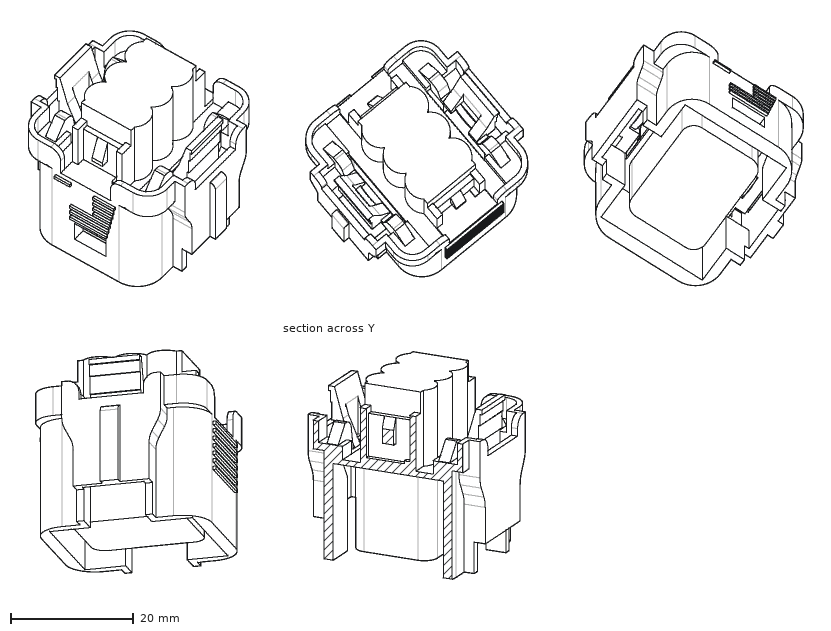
import cadquery as cq
import math


BODY_HALF_X = 11.83
BODY_HALF_Y = 14.5
BODY_CORNER_R = 5.0
CAVITY_HALF_X = 10.0
CAVITY_HALF_Y = 12.18

RIM_HALF_X = 13.65
RIM_WALL = 1.0
RIM_CORNER_R = 4.0
RIM_BOTTOM = 18.7
RIM_TOP = 23.7
RIM_FLOOR = 20.0
NOTCH_R = 2.0

DECK_HALF_X = 8.2
DECK_TOP = 17.7
DECK_THICKNESS = 1.0
DECK_BOTTOM = DECK_TOP - DECK_THICKNESS

PLATE_OUTER_X = 15.65
PLATE_THICKNESS = 1.15
PLATE_INNER_X = PLATE_OUTER_X - PLATE_THICKNESS
PLATE_BOTTOM = 5.45
PLATE_NOTCH_HALF_Y = 5.5
PLATE_NOTCH_BOTTOM = 20.38
SLEEVE_OUTER_LOW = 6.48
SLEEVE_OUTER_HIGH = 8.42
SLEEVE_INNER_LOW = 5.25
SLEEVE_INNER_HIGH = 7.45
BEND_LOW_Z = 12.75
BEND_HIGH_Z = 16.43
BEND_R = 4.08
BEND_MARGIN = 0.32

KEY_DEPTH = 1.1
KEY_HALF_Y = 1.52
KEY_TOP = 18.55
KEY_ROUND_R = 0.97

WINDOW_X = (-2.25, 4.1)
WINDOW_Z = (4.47, 8.25)
RIB_DEPTH = 0.5
RIB_HEIGHT = 0.55
RIB_PITCH = 1.3
RIB_ROWS = 7
RIB_TOP_ROW_Z = 17.43
RIB_END_X = 6.05
RIB_END_STEP = 0.25
RIB_SHORT_START_X = 1.78
RIB_LONG_START_X = -2.95
RIB_SHORT_ROWS = 4
RIB_TICK_END_X = -2.88

INSERT_TOP = 30.8
INSERT_BOTTOM = 1.95
INSERT_HALF_X = 5.1
INSERT_HALF_Y = 8.88
LOBE_R = 3.2
LOBE_CENTER_X = 2.95
LOBE_PITCH = 5.55
FOOT_HALF_X = 7.3
FOOT_HALF_Y = 9.6
FOOT_CORNER_R = 2.35
FLANGE_INNER_X = 3.92
FLANGE_OUTER_Y = 11.35
FLANGE_TOP = 27.15
PANEL_OUTER_Y = 9.88
PANEL_TOP = 26.08
HOOK_HALF_X = 1.05
HOOK_LIP_TOP = 22.32
HOOK_LIP_BOTTOM = 21.55
STEP_INNER_X = 2.98
STEP_HEIGHT = 0.5

ARM_INNER_X = 9.15
ARM_OUTER_X = 11.18
ARM_TOP = 17.63
ARM_BOTTOM = 15.7
LUG_OUTER_Y = 10.5
LUG_PEAK_Y = 7.95
LUG_PEAK_Z = 22.97
LUG_ROUND_R = 1.88
LUG_FOOT_Y = 4.9
TAB_HALF_Y = 4.3
TAB_SLOT_HALF_Y = 2.25
TAB_SLOT_X = 11.83
TAB_TOP = 27.65
TAB_TOP_INNER_X = 12.85
TAB_FOLD_X = 11.3
TAB_FOLD_Z = 22.4
TAB_TIP_X = 13.95
TAB_TIP_BOTTOM = 26.8
TAB_BACK_X = 13.6
TAB_BACK_BOTTOM = 24.85
TAB_NECK_X = 13.38
TAB_NECK_BOTTOM = 21.85
TAB_STEM_X = 13.05
SADDLE_INNER_X = 10.05
SADDLE_DEPTH = 1.3
SADDLE_THICKNESS = 1.0


def span_box(x, y, z):
    """Box between the given (low, high) limits along each axis."""
    return cq.Workplane("XY").box(
        x[1] - x[0], y[1] - y[0], z[1] - z[0], centered=False
    ).translate((x[0], y[0], z[0]))


def centered_box(half_x, half_y, bottom, top):
    return span_box((-half_x, half_x), (-half_y, half_y), (bottom, top))


def rounded_block(half_x, half_y, radius, bottom, top):
    return centered_box(half_x, half_y, bottom, top).edges("|Z").fillet(radius)


def on_both_x_sides(solid):
    return solid.union(solid.mirror("YZ"))


def rotated_half_turn(solid):
    return solid.rotate((0, 0, 0), (0, 0, 1), 180)


def flared_notch(plane, half_width, bottom, half_length):
    """Cutter for a notch in the rim whose top corners are rounded over."""
    flare = half_width + NOTCH_R
    round_start = RIM_TOP - NOTCH_R
    mid_offset = NOTCH_R * math.sqrt(0.5)
    mid_width = flare - mid_offset
    mid_z = round_start + mid_offset
    return (
        cq.Workplane(plane)
        .moveTo(-half_width, bottom)
        .lineTo(-half_width, round_start)
        .threePointArc((-mid_width, mid_z), (-flare, RIM_TOP))
        .lineTo(flare, RIM_TOP)
        .threePointArc((mid_width, mid_z), (half_width, round_start))
        .lineTo(half_width, bottom)
        .close()
        .extrude(half_length, both=True)
    )


def sleeve_prism(low_half, high_half, x_start, x_end):
    """Prism along X that widens from low_half to high_half between the two bends."""
    outline = [
        (-low_half, 0),
        (low_half, 0),
        (low_half, BEND_LOW_Z),
        (high_half, BEND_HIGH_Z),
        (high_half, RIM_TOP),
        (-high_half, RIM_TOP),
        (-high_half, BEND_HIGH_Z),
        (-low_half, BEND_LOW_Z),
    ]
    start_plane = cq.Workplane("YZ").workplane(offset=x_start)
    return start_plane.polyline(outline).close().extrude(x_end - x_start)


def make_sleeve():
    bend_zone = cq.selectors.BoxSelector(
        (0, -BODY_HALF_Y, BEND_LOW_Z - BEND_MARGIN),
        (PLATE_OUTER_X, BODY_HALF_Y, BEND_HIGH_Z + BEND_MARGIN),
    )
    sleeve = sleeve_prism(SLEEVE_OUTER_LOW, SLEEVE_OUTER_HIGH, CAVITY_HALF_X, PLATE_OUTER_X)
    sleeve = sleeve.edges("|X").edges(bend_zone).fillet(BEND_R)
    below_plate = span_box(
        (RIM_HALF_X, PLATE_OUTER_X), (-SLEEVE_OUTER_LOW, SLEEVE_OUTER_LOW), (0, PLATE_BOTTOM)
    )
    return sleeve.cut(below_plate)


def make_shell():
    rim_inner_half_x = RIM_HALF_X - RIM_WALL
    rim_inner_half_y = BODY_HALF_Y - RIM_WALL

    shell = rounded_block(BODY_HALF_X, BODY_HALF_Y, BODY_CORNER_R, 0, RIM_FLOOR)
    shell = shell.union(rounded_block(RIM_HALF_X, BODY_HALF_Y, RIM_CORNER_R, RIM_BOTTOM, RIM_TOP))
    shell = shell.union(on_both_x_sides(make_sleeve()))

    shell = shell.cut(
        rounded_block(rim_inner_half_x, rim_inner_half_y, RIM_CORNER_R - RIM_WALL, RIM_FLOOR, RIM_TOP)
    )
    shell = shell.cut(centered_box(DECK_HALF_X, rim_inner_half_y, DECK_TOP, RIM_TOP))
    shell = shell.cut(centered_box(CAVITY_HALF_X, CAVITY_HALF_Y, 0, DECK_BOTTOM))

    shaft = sleeve_prism(SLEEVE_INNER_LOW, SLEEVE_INNER_HIGH, DECK_HALF_X, PLATE_INNER_X)
    shell = shell.cut(on_both_x_sides(shaft))

    shell = shell.cut(flared_notch("XZ", INSERT_HALF_X, RIM_BOTTOM, BODY_HALF_Y))
    shell = shell.cut(flared_notch("YZ", PLATE_NOTCH_HALF_Y, PLATE_NOTCH_BOTTOM, PLATE_OUTER_X))

    ledge = span_box(
        (-INSERT_HALF_X, INSERT_HALF_X), (INSERT_HALF_Y, rim_inner_half_y), (DECK_TOP, RIM_BOTTOM)
    )
    shell = shell.union(ledge).union(rotated_half_turn(ledge))
    return shell.cut(span_box(WINDOW_X, (-BODY_HALF_Y, -CAVITY_HALF_Y), WINDOW_Z))


def make_key():
    key = span_box(
        (PLATE_OUTER_X, PLATE_OUTER_X + KEY_DEPTH), (-KEY_HALF_Y, KEY_HALF_Y), (PLATE_BOTTOM, KEY_TOP)
    )
    return key.edges(">X and >Z").fillet(KEY_ROUND_R)


def add_ribs(solid):
    """Tapering rows of ribs on the -Y wall, full-width rows on the +Y wall."""
    front = (-BODY_HALF_Y - RIB_DEPTH, -BODY_HALF_Y)
    back = (BODY_HALF_Y, BODY_HALF_Y + RIB_DEPTH)
    for row in range(RIB_ROWS):
        middle = RIB_TOP_ROW_Z - row * RIB_PITCH
        height = (middle - RIB_HEIGHT / 2, middle + RIB_HEIGHT / 2)
        start = RIB_SHORT_START_X if row < RIB_SHORT_ROWS else RIB_LONG_START_X
        end = RIB_END_X - row * RIB_END_STEP
        solid = solid.union(span_box((start, end), front, height))
        solid = solid.union(span_box((-RIB_END_X, RIB_END_X), back, height))
        if row == 0:
            solid = solid.union(span_box((-RIB_END_X, RIB_TICK_END_X), front, height))
    return solid


def make_insert_core():
    core = centered_box(INSERT_HALF_X, INSERT_HALF_Y, INSERT_BOTTOM, INSERT_TOP)

    side_cut = span_box(
        (LOBE_CENTER_X, INSERT_HALF_X), (-LOBE_PITCH, LOBE_PITCH), (INSERT_BOTTOM, INSERT_TOP)
    )
    core = core.cut(on_both_x_sides(side_cut))
    for side in (-1, 1):
        for place in (-1, 0, 1):
            center = (side * LOBE_CENTER_X, place * LOBE_PITCH, INSERT_BOTTOM)
            lobe = cq.Workplane(origin=center).circle(LOBE_R).extrude(INSERT_TOP - INSERT_BOTTOM)
            core = core.union(lobe)
    foot = rounded_block(FOOT_HALF_X, FOOT_HALF_Y, FOOT_CORNER_R, INSERT_BOTTOM, DECK_BOTTOM)
    return core.union(foot)


def make_insert_end():
    """Panel, two flanges, hook and small step on the -Y end of the insert."""
    flange = span_box(
        (FLANGE_INNER_X, INSERT_HALF_X), (-FLANGE_OUTER_Y, -INSERT_HALF_Y), (RIM_BOTTOM, FLANGE_TOP)
    )
    panel = span_box(
        (-FLANGE_INNER_X, FLANGE_INNER_X), (-PANEL_OUTER_Y, -INSERT_HALF_Y), (RIM_BOTTOM, PANEL_TOP)
    )
    hook = (
        cq.Workplane("YZ")
        .polyline([
            (-PANEL_OUTER_Y, PANEL_TOP),
            (-FLANGE_OUTER_Y, HOOK_LIP_TOP),
            (-FLANGE_OUTER_Y, HOOK_LIP_BOTTOM),
            (-PANEL_OUTER_Y, HOOK_LIP_BOTTOM),
        ])
        .close()
        .extrude(HOOK_HALF_X, both=True)
    )
    step = span_box(
        (STEP_INNER_X, FLANGE_INNER_X),
        (-FLANGE_OUTER_Y, -PANEL_OUTER_Y),
        (RIM_BOTTOM, RIM_BOTTOM + STEP_HEIGHT),
    )
    return on_both_x_sides(flange).union(panel).union(hook).union(step)


def make_lug():
    """Half of the spring arm on the +Y side: a lug rising from the rim floor."""
    round_end_y = SLEEVE_INNER_HIGH - LUG_ROUND_R
    round_end_z = LUG_PEAK_Z - LUG_ROUND_R
    mid_offset = LUG_ROUND_R * math.sqrt(0.5)
    return (
        cq.Workplane("YZ")
        .workplane(offset=ARM_INNER_X)
        .moveTo(LUG_OUTER_Y, RIM_FLOOR)
        .lineTo(LUG_PEAK_Y, LUG_PEAK_Z)
        .lineTo(SLEEVE_INNER_HIGH, LUG_PEAK_Z)
        .threePointArc(
            (SLEEVE_INNER_HIGH - mid_offset, round_end_z + mid_offset), (round_end_y, round_end_z)
        )
        .lineTo(LUG_FOOT_Y, ARM_TOP)
        .lineTo(TAB_SLOT_HALF_Y, ARM_TOP)
        .lineTo(TAB_SLOT_HALF_Y, ARM_BOTTOM)
        .lineTo(SLEEVE_INNER_HIGH, ARM_BOTTOM)
        .lineTo(SLEEVE_INNER_HIGH, RIM_FLOOR)
        .close()
        .extrude(ARM_OUTER_X - ARM_INNER_X)
    )


def make_saddle():
    """Thin curved strip that joins the two halves of the arm."""
    low_z = ARM_TOP - SADDLE_DEPTH
    return (
        cq.Workplane("YZ")
        .workplane(offset=SADDLE_INNER_X)
        .moveTo(-TAB_SLOT_HALF_Y, ARM_TOP)
        .threePointArc((0, low_z), (TAB_SLOT_HALF_Y, ARM_TOP))
        .lineTo(TAB_SLOT_HALF_Y, ARM_TOP - SADDLE_THICKNESS)
        .threePointArc((0, low_z - SADDLE_THICKNESS), (-TAB_SLOT_HALF_Y, ARM_TOP - SADDLE_THICKNESS))
        .close()
        .extrude(ARM_OUTER_X - SADDLE_INNER_X)
    )


def make_tab():
    """Latch tab of the +X arm, leaning outwards, with a slot at its root."""
    profile = [
        (ARM_INNER_X, ARM_BOTTOM),
        (ARM_INNER_X, ARM_TOP),
        (TAB_FOLD_X, TAB_FOLD_Z),
        (TAB_TOP_INNER_X, TAB_TOP),
        (TAB_TIP_X, TAB_TOP),
        (TAB_TIP_X, TAB_TIP_BOTTOM),
        (TAB_BACK_X, TAB_TIP_BOTTOM),
        (TAB_BACK_X, TAB_BACK_BOTTOM),
        (TAB_NECK_X, TAB_BACK_BOTTOM),
        (TAB_NECK_X, TAB_NECK_BOTTOM),
        (TAB_STEM_X, TAB_NECK_BOTTOM),
        (TAB_STEM_X, ARM_BOTTOM),
    ]
    tab = cq.Workplane("XZ").polyline(profile).close().extrude(TAB_HALF_Y, both=True)
    slot_y = (-TAB_SLOT_HALF_Y, TAB_SLOT_HALF_Y)
    tab = tab.cut(span_box((ARM_INNER_X, TAB_SLOT_X), slot_y, (ARM_TOP, TAB_TOP)))
    return tab.cut(span_box((ARM_INNER_X, ARM_OUTER_X), slot_y, (ARM_BOTTOM, ARM_TOP)))


def make_latch():
    lug = make_lug()
    return lug.union(lug.mirror("XZ")).union(make_saddle()).union(make_tab())


insert_end = make_insert_end()

result = make_shell().union(make_key())
result = add_ribs(result)
result = result.union(make_insert_core())
result = result.union(insert_end).union(rotated_half_turn(insert_end))
result = result.union(on_both_x_sides(make_latch()))